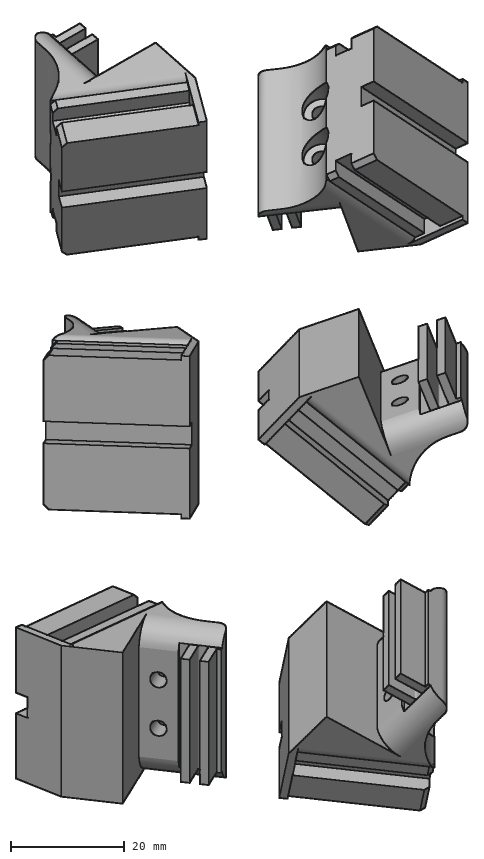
import cadquery as cq
import math

length_x = 35.8
depth_y = 28.08
height_z = 29.5
half_height = height_z / 2
margin = 3.58

tilt = 28.0
block_length = 26.0
block_width = 10.8
block_left_x = 15.0
cos_tilt = math.cos(math.radians(tilt))
sin_tilt = math.sin(math.radians(tilt))
corner_right = (length_x, block_length * cos_tilt)
corner_front = (length_x - block_length * sin_tilt, 0.0)
corner_left = (corner_front[0] - block_width * cos_tilt, block_width * sin_tilt)
corner_back_x = length_x - (depth_y - corner_right[1]) * cos_tilt / sin_tilt

arm_front_y = 11.85
arm_back_y = 16.95
arm_corner_radius = 2.0
arm_round_start_y = 11.92
arm_arc_start_x = 4.37
arm_round_radius = 5.12

seat_y = 16.4
seat_end_x = 7.8
tab_tip_y = 22.35
tab_thickness = 1.6
tab_half_height = 12.05
tab_first_x = 0.85
tab_pitch = 3.47
tab_root_radius = 0.3
tab_embed = 0.35

lip_width = 1.5
step_depth = 0.75
step_radius = 2.0
step_chamfer = 0.93
groove_left_u = -8.7
groove_width = 3.58
groove_depth = 3.72

slot_height = 4.0
slot_depth = 2.8

hole_diameter = 3.0
counterbore_diameter = 6.0
counterbore_floor_y = 12.43
hole_x = 11.45
hole_pitch = 9.45


def box(x0, x1, y0, y1, z0, z1):
    return cq.Workplane("XY").box(x1 - x0, y1 - y0, z1 - z0, centered=False).translate((x0, y0, z0))


def place_on_block(shape):
    """Turn a shape from (u, v, z) with its origin at the front corner into part axes."""
    return shape.rotate((0, 0, 0), (0, 0, 1), -tilt).translate((*corner_front, 0))


def make_body():
    diagonal = arm_corner_radius * math.sqrt(0.5)
    round_center_y = arm_front_y + arm_corner_radius
    outline = (
        cq.Workplane("XY", origin=(0, 0, -half_height))
        .moveTo(0, arm_back_y)
        .lineTo(0, round_center_y)
        .threePointArc(
            (arm_corner_radius - diagonal, round_center_y - diagonal),
            (arm_corner_radius, arm_front_y),
        )
        .lineTo(arm_arc_start_x, arm_front_y)
        .tangentArcPoint(corner_left, relative=False)
        .lineTo(*corner_front)
        .lineTo(*corner_right)
        .lineTo(corner_back_x, depth_y)
        .lineTo(block_left_x, depth_y)
        .lineTo(block_left_x, arm_back_y)
        .close()
    )
    return outline.extrude(height_z)


def arm_edge_cutter():
    """Material outside the rounded top back edge of the arm."""
    round_base_z = half_height - arm_round_radius
    corner = box(
        -margin, block_left_x,
        arm_round_start_y, arm_back_y + margin,
        round_base_z, half_height + margin,
    )
    cylinder = (
        cq.Workplane("YZ", origin=(-margin, arm_round_start_y, round_base_z))
        .circle(arm_round_radius)
        .extrude(block_left_x + margin)
    )
    return corner.cut(cylinder)


def make_tabs():
    """Two upright tabs, and a low rim along the outer end of the arm."""
    tabs = box(0, tab_first_x, arm_front_y + arm_corner_radius, arm_back_y, -tab_half_height, tab_half_height)
    for index in range(2):
        x = tab_first_x + index * tab_pitch
        tabs = tabs.union(
            box(x, x + tab_thickness, seat_y - tab_embed, tab_tip_y, -tab_half_height, tab_half_height)
        )
    gap_left = tab_first_x + tab_thickness
    gap_right = tab_first_x + tab_pitch
    gap_fill = box(gap_left, gap_right, seat_y - tab_embed, tab_tip_y, -tab_half_height, tab_half_height)
    gap = box(gap_left, gap_right, seat_y, tab_tip_y + margin, -half_height, half_height)
    gap = gap.edges("|Z and <Y").fillet(tab_root_radius)
    return tabs.union(gap_fill.cut(gap))


def step_cutter():
    """Lowers the top end of the block, leaving a lip at the back and a rounded left side."""
    floor_z = half_height - step_depth
    round_width = math.sqrt(step_radius**2 - (step_radius - step_depth) ** 2)
    round_start_u = -block_width - round_width
    mid_angle = math.acos(1 - step_depth / step_radius) / 2
    arc_middle = (
        round_start_u + step_radius * math.sin(mid_angle),
        half_height - step_radius * (1 - math.cos(mid_angle)),
    )
    lip_v = block_length - lip_width
    step = (
        cq.Workplane("XZ", origin=(0, lip_v, 0))
        .moveTo(round_start_u, half_height)
        .threePointArc(arc_middle, (-block_width, floor_z))
        .lineTo(margin, floor_z)
        .lineTo(margin, half_height)
        .close()
        .extrude(lip_v + margin)
    )
    groove_right_u = groove_left_u + groove_width
    groove = box(groove_left_u, groove_right_u, -margin, lip_v, half_height - groove_depth, half_height)
    chamfer = (
        cq.Workplane("YZ", origin=(-block_width, 0, 0))
        .polyline([(0, floor_z - step_chamfer), (step_chamfer, floor_z), (0, floor_z)])
        .close()
        .extrude(block_width + margin)
    )
    return place_on_block(step.union(groove).union(chamfer))


def slot_cutter():
    slot = box(
        -slot_depth, margin, -margin, block_length + margin, -slot_height / 2, slot_height / 2
    )
    return place_on_block(slot)


def hole_cutter(z):
    hole = (
        cq.Workplane("XZ", origin=(hole_x, arm_back_y + margin, z))
        .circle(hole_diameter / 2)
        .extrude(arm_back_y + 2 * margin)
    )
    counterbore = (
        cq.Workplane("XZ", origin=(hole_x, counterbore_floor_y, z))
        .circle(counterbore_diameter / 2)
        .extrude(counterbore_floor_y + margin)
    )
    return hole.union(counterbore)


body = make_body()
for cutter in (arm_edge_cutter(), step_cutter()):
    body = body.cut(cutter).cut(cutter.mirror("XY"))
body = body.cut(box(-margin, seat_end_x, seat_y, arm_back_y + margin, -half_height, half_height))
body = body.union(make_tabs()).cut(slot_cutter())
for side in (-1, 1):
    body = body.cut(hole_cutter(side * hole_pitch / 2))

result = body